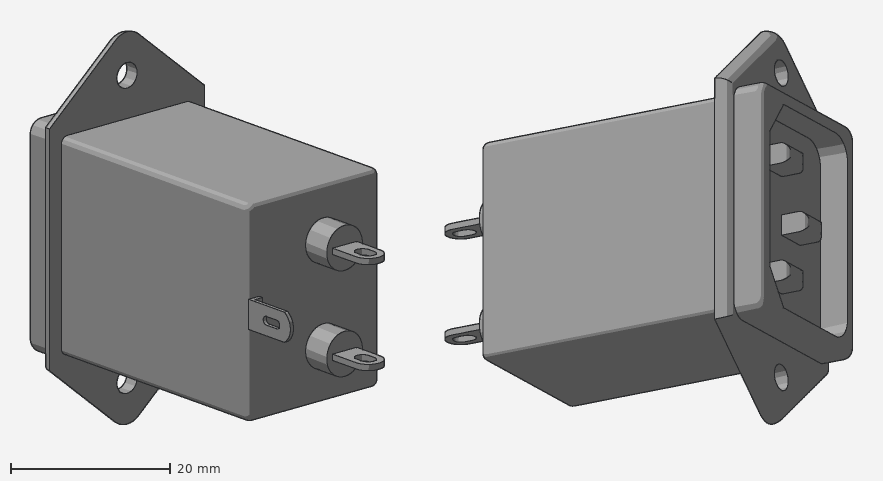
import cadquery as cq
import math


fillet_margin = 0.005

flange_front = 4.0
flange_back = 6.0
body_back = 41.5
boss_back = 45.5
lug_end = 52.0
ground_lug_end = 49.4

edge_radius = 1.0
collar_width = 23.0
collar_height = 31.0
collar_corner_radius = 2.0
body_width = 22.05
body_height = 29.0

flange_width = 26.0
flange_height = 52.0
flange_slope = math.radians(40)
flange_tip_radius = 3.0
flange_edge_radius = flange_back - flange_front - fillet_margin
mounting_hole_diameter = 3.4
mounting_hole_z = 20.25

cavity_width = 19.0
cavity_height = 27.05
cavity_depth = 3.95
key_cut_width = 3.4
key_cut_height = 4.5
cavity_corner_radius = 3.0

pin_width = 4.6
pin_height = 2.7
pin_length = 3.55
pin_offset_y = 2.25
pin_pitch_z = 7.8

terminal_y = 1.5
terminal_z = 7.0
boss_diameter = 6.0
lug_width = 4.05
lug_thickness = 0.85
lug_slot_length = 3.1
lug_slot_width = 2.1
lug_slot_x = 49.45

ground_width = 4.0
ground_thickness = 0.5
ground_foot_height = 1.75
ground_foot_thickness = 0.6
ground_tip_depth = 1.15
ground_slot_length = 3.1
ground_slot_width = 1.15
ground_slot_x = 45.8


def block(x_start, x_end, width, height, y=0, z=0):
    """Box between two X stations, centred on (y, z)."""
    return (
        cq.Workplane("YZ", origin=(x_start, y, z))
        .rect(width, height)
        .extrude(x_end - x_start)
    )


def make_collar():
    collar = block(0, flange_back, collar_width, collar_height)
    return collar.edges("|X").fillet(collar_corner_radius).faces("<X").edges().fillet(edge_radius)


def make_body():
    body = block(flange_front, body_back, body_width, body_height)
    return body.edges("|X").fillet(edge_radius).faces(">X").edges().fillet(edge_radius)


def make_flange():
    """Six-sided plate with rounded tips, rolled front edge and two holes."""
    half_width = flange_width / 2
    tip_z = flange_height / 2 + flange_tip_radius * (1 / math.cos(flange_slope) - 1)
    shoulder_z = tip_z - half_width * math.tan(flange_slope)
    outline = [
        (0, tip_z),
        (half_width, shoulder_z),
        (half_width, -shoulder_z),
        (0, -tip_z),
        (-half_width, -shoulder_z),
        (-half_width, shoulder_z),
    ]
    plate = (
        cq.Workplane("YZ", origin=(flange_front, 0, 0))
        .polyline(outline)
        .close()
        .extrude(flange_back - flange_front)
    )
    plate = plate.edges("|X").edges("<Z or >Z").fillet(flange_tip_radius)
    plate = plate.faces("<X").edges().fillet(flange_edge_radius)
    holes = (
        cq.Workplane("YZ", origin=(flange_front, 0, 0))
        .pushPoints([(0, mounting_hole_z), (0, -mounting_hole_z)])
        .circle(mounting_hole_diameter / 2)
        .extrude(flange_back - flange_front)
    )
    return plate.cut(holes)


def make_cavity():
    """Socket recess: two slanted corners on +Y, two rounded ones on -Y."""
    half_width = cavity_width / 2
    half_height = cavity_height / 2
    outline = [
        (-half_width, half_height),
        (half_width - key_cut_width, half_height),
        (half_width, half_height - key_cut_height),
        (half_width, key_cut_height - half_height),
        (half_width - key_cut_width, -half_height),
        (-half_width, -half_height),
    ]
    cavity = cq.Workplane("YZ").polyline(outline).close().extrude(cavity_depth)
    return cavity.edges("|X and <Y").fillet(cavity_corner_radius)


def make_pin(y, z):
    pin = block(cavity_depth - pin_length, cavity_depth, pin_width, pin_height, y, z)
    return pin.faces("<X").edges().fillet(edge_radius)


def make_terminal(z):
    """Round boss carrying a flat, round-ended lug with a slot."""
    boss = (
        cq.Workplane("YZ", origin=(body_back, terminal_y, z))
        .circle(boss_diameter / 2)
        .extrude(boss_back - body_back)
    )
    lug = block(boss_back, lug_end, lug_width, lug_thickness, terminal_y, z)
    lug = lug.edges("|Z and >X").fillet(lug_width / 2 - fillet_margin)
    slot = (
        cq.Workplane("XY", origin=(lug_slot_x, terminal_y, z))
        .slot2D(lug_slot_length, lug_slot_width)
        .extrude(lug_thickness, both=True)
    )
    return boss.union(lug.cut(slot))


def make_ground_terminal():
    """Bent strip: a short foot on the rear face and a slotted blade."""
    outer_y = -body_width / 2
    half_width = ground_width / 2
    foot = block(
        body_back,
        body_back + ground_foot_thickness,
        ground_foot_height,
        ground_width,
        outer_y + ground_foot_height / 2,
    )
    blade = (
        cq.Workplane("XZ", origin=(0, outer_y + ground_thickness, 0))
        .moveTo(body_back, -half_width)
        .lineTo(ground_lug_end - ground_tip_depth, -half_width)
        .threePointArc((ground_lug_end, 0), (ground_lug_end - ground_tip_depth, half_width))
        .lineTo(body_back, half_width)
        .close()
        .extrude(ground_thickness)
    )
    slot = (
        cq.Workplane("XZ", origin=(ground_slot_x, outer_y, 0))
        .slot2D(ground_slot_length, ground_slot_width)
        .extrude(ground_thickness, both=True)
    )
    return foot.union(blade.cut(slot))


result = make_collar().union(make_flange()).union(make_body()).cut(make_cavity())

for y, z in [(pin_offset_y, pin_pitch_z), (-pin_offset_y, 0), (pin_offset_y, -pin_pitch_z)]:
    result = result.union(make_pin(y, z))

for z in (terminal_z, -terminal_z):
    result = result.union(make_terminal(z))

result = result.union(make_ground_terminal())